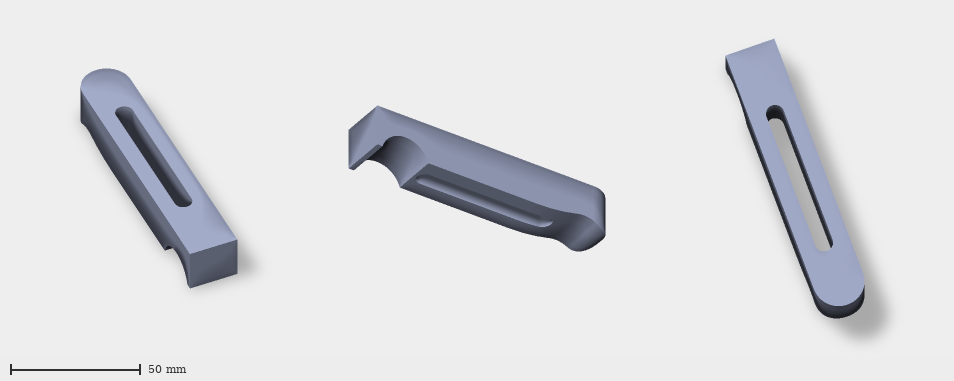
import cadquery as cq
import math

length = 110.0
width = 20.0
height = 18.0
nose_radius = width / 2

slot_start = 23.0
slot_end = 85.0
slot_width = 7.0

foot_x = 4.8
foot_radius = 7.0
hollow_radius = 11.0
hollow_depth = 2.8
heel_radius = 74.8

relief_x = 97.0
relief_radius = 11.0
relief_depth = 8.0


def offset_between_tangent_arcs(outer_radius):
    """X distance from the hollow's centre to a bottom-tangent arc that touches it."""
    centre_distance = outer_radius + hollow_radius
    return math.sqrt(centre_distance**2 - (centre_distance - hollow_depth) ** 2)


def point_on_arc(centre_x, centre_z, radius, x, side):
    """Point at x on a circle; side is 1 for its upper half and -1 for its lower."""
    return (x, centre_z + side * math.sqrt(radius**2 - (x - centre_x) ** 2))


def make_side_profile():
    hollow_x = foot_x + offset_between_tangent_arcs(foot_radius)
    hollow_z = hollow_depth - hollow_radius
    heel_x = hollow_x + offset_between_tangent_arcs(heel_radius)

    foot_share = foot_radius / (foot_radius + hollow_radius)
    heel_share = heel_radius / (heel_radius + hollow_radius)
    foot_join_x = foot_x + foot_share * (hollow_x - foot_x)
    heel_join_x = heel_x + heel_share * (hollow_x - heel_x)
    heel_middle_x = (heel_join_x + heel_x) / 2

    tip = point_on_arc(foot_x, foot_radius, foot_radius, 0, -1)
    foot_join = point_on_arc(foot_x, foot_radius, foot_radius, foot_join_x, -1)
    heel_join = point_on_arc(heel_x, heel_radius, heel_radius, heel_join_x, -1)
    heel_middle = point_on_arc(heel_x, heel_radius, heel_radius, heel_middle_x, -1)
    hollow_top = (hollow_x, hollow_z + hollow_radius)

    return (
        cq.Workplane("XZ")
        .moveTo(0, height)
        .lineTo(*tip)
        .threePointArc((foot_x, 0), foot_join)
        .threePointArc(hollow_top, heel_join)
        .threePointArc(heel_middle, (heel_x, 0))
        .lineTo(length, 0)
        .lineTo(length, height)
        .close()
        .extrude(width / 2, both=True)
    )


def make_plan_outline():
    return (
        cq.Workplane("XY")
        .moveTo(length, -nose_radius)
        .lineTo(nose_radius, -nose_radius)
        .threePointArc((0, 0), (nose_radius, nose_radius))
        .lineTo(length, nose_radius)
        .close()
        .extrude(height)
    )


def make_slot():
    return (
        cq.Workplane("XY")
        .center((slot_start + slot_end) / 2, 0)
        .slot2D(slot_end - slot_start, slot_width)
        .extrude(height)
    )


def make_relief():
    return (
        cq.Workplane("XZ")
        .center(relief_x, relief_depth - relief_radius)
        .circle(relief_radius)
        .extrude(width, both=True)
    )


bar = make_side_profile().intersect(make_plan_outline())
result = bar.cut(make_slot()).cut(make_relief())